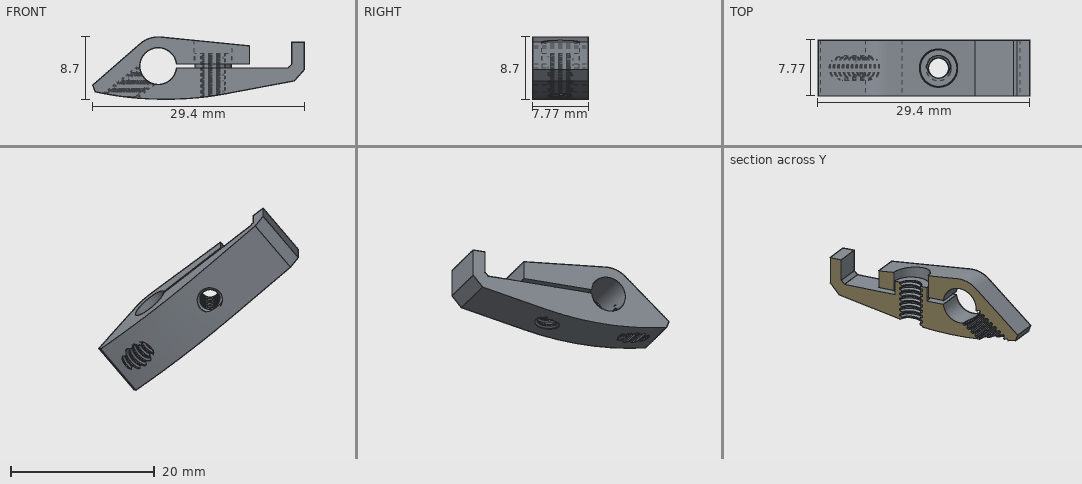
import math

import cadquery as cq

LENGTH = 29.44
WIDTH = 7.77
HEIGHT = 8.704

BORE_DIAMETER = 5.08
SLOT_WIDTH = 0.508
SLOT_TOP = SLOT_WIDTH / 2
SLOT_BOTTOM = -SLOT_WIDTH / 2

SHOULDER_RADIUS = 3.81
SHOULDER_CENTER_Z = SLOT_TOP
SHOULDER_TOP_Z = SHOULDER_CENTER_Z + SHOULDER_RADIUS
UPPER_ARM_END_X = 12.7
UPPER_ARM_END_Z = 2.82

HOOK_OUTER_X = 20.32
NOSE_X = HOOK_OUTER_X - LENGTH
NOSE_Z = -2.65
NOSE_HEEL_X = -8.76
NOSE_HEEL_Z = -3.58

BELLY_BOTTOM_X = 1.0
BELLY_BOTTOM_Z = SHOULDER_TOP_Z - HEIGHT
BELLY_SAG = NOSE_HEEL_Z - BELLY_BOTTOM_Z
BELLY_HALF_CHORD = BELLY_BOTTOM_X - NOSE_HEEL_X
BELLY_RADIUS = (BELLY_HALF_CHORD**2 + BELLY_SAG**2) / (2 * BELLY_SAG)

HOOK_THICKNESS = 1.78
HOOK_INNER_X = HOOK_OUTER_X - HOOK_THICKNESS
HOOK_TOP_Z = 3.33
HOOK_INNER_CHAMFER = 0.508
HOOK_CORNER_X = 18.91
HOOK_CORNER_Z = -2.07
HOOK_OUTER_CHAMFER_Z = -0.5

SCREW_X = 7.62
CLEARANCE_DIAMETER = 5.33
BOSS_DIAMETER = 5.08
BOSS_HEIGHT = 2.03
BOSS_TOP = SLOT_BOTTOM + BOSS_HEIGHT

MM_PER_INCH = 25.4
THREADS_PER_INCH = 32
THREAD_MINOR_DIAMETER = 2.77
THREAD_MAJOR_DIAMETER = 3.5
THREAD_PITCH = MM_PER_INCH / THREADS_PER_INCH
THREAD_FLANK_ANGLE = math.radians(30)
THREAD_ROOT_WIDTH = THREAD_PITCH / 4
GROOVE_OVERLAP = 0.1

SET_SCREW_SLOPE = math.radians(38)
SET_SCREW_HOLE_REACH = 9.5

TANGENT_SIDE_LEFT = 1
TANGENT_SIDE_RIGHT = -1


def tangent_point(center, radius, point, side):
    """Touch point on a circle of a tangent from an outside point, on the given side of the line to it."""
    dx = point[0] - center[0]
    dz = point[1] - center[1]
    angle = math.atan2(dz, dx) + side * math.acos(radius / math.hypot(dx, dz))
    return (center[0] + radius * math.cos(angle), center[1] + radius * math.sin(angle))


def make_body():
    """Side profile of the clamp, extruded across the width."""
    shoulder_center = (0, SHOULDER_CENTER_Z)
    nose = (NOSE_X, NOSE_Z)
    upper_arm_tip = (UPPER_ARM_END_X, UPPER_ARM_END_Z)
    hook_corner = (HOOK_CORNER_X, HOOK_CORNER_Z)
    belly_center = (BELLY_BOTTOM_X, BELLY_BOTTOM_Z + BELLY_RADIUS)

    shoulder_start = tangent_point(shoulder_center, SHOULDER_RADIUS, nose, TANGENT_SIDE_RIGHT)
    shoulder_end = tangent_point(shoulder_center, SHOULDER_RADIUS, upper_arm_tip, TANGENT_SIDE_LEFT)
    belly_end = tangent_point(belly_center, BELLY_RADIUS, hook_corner, TANGENT_SIDE_RIGHT)

    profile = (
        cq.Workplane("XZ")
        .moveTo(*nose)
        .lineTo(*shoulder_start)
        .threePointArc((0, SHOULDER_TOP_Z), shoulder_end)
        .lineTo(*upper_arm_tip)
        .lineTo(UPPER_ARM_END_X, SLOT_TOP)
        .lineTo(0, SLOT_TOP)
        .lineTo(0, SLOT_BOTTOM)
        .lineTo(HOOK_INNER_X - HOOK_INNER_CHAMFER, SLOT_BOTTOM)
        .lineTo(HOOK_INNER_X, SLOT_BOTTOM + HOOK_INNER_CHAMFER)
        .lineTo(HOOK_INNER_X, HOOK_TOP_Z)
        .lineTo(HOOK_OUTER_X, HOOK_TOP_Z)
        .lineTo(HOOK_OUTER_X, HOOK_OUTER_CHAMFER_Z)
        .lineTo(*hook_corner)
        .lineTo(*belly_end)
        .threePointArc((BELLY_BOTTOM_X, BELLY_BOTTOM_Z), (NOSE_HEEL_X, NOSE_HEEL_Z))
        .close()
    )
    body = profile.extrude(WIDTH / 2, both=True)
    bore = cq.Workplane("XZ").circle(BORE_DIAMETER / 2).extrude(WIDTH, both=True)
    return body.cut(bore)


def vertical_cylinder(diameter, bottom, top):
    """Cylinder on the Z axis between two heights."""
    return cq.Workplane("XY", origin=(0, 0, bottom)).circle(diameter / 2).extrude(top - bottom)


def make_thread_groove(length):
    """Helical groove cutter around Z, from one turn above Z = 0 down past -length, centred on Z = 0 at +X."""
    inner_radius = THREAD_MINOR_DIAMETER / 2 - GROOVE_OVERLAP
    outer_radius = THREAD_MAJOR_DIAMETER / 2
    root_half = THREAD_ROOT_WIDTH / 2
    mouth_half = root_half + (outer_radius - inner_radius) * math.tan(THREAD_FLANK_ANGLE)

    turns_below = math.ceil(length / THREAD_PITCH)
    helix = cq.Wire.makeHelix(THREAD_PITCH, (turns_below + 1) * THREAD_PITCH, outer_radius)
    groove = (
        cq.Workplane("XZ")
        .moveTo(inner_radius, -mouth_half)
        .lineTo(outer_radius, -root_half)
        .lineTo(outer_radius, root_half)
        .lineTo(inner_radius, mouth_half)
        .close()
        .sweep(cq.Workplane(obj=helix), isFrenet=True)
    )
    return groove.translate((0, 0, -turns_below * THREAD_PITCH))


def cut_tapped_hole(body, plane, length):
    """Threaded hole from the plane's origin against its normal; the groove starts along the plane's X."""
    place = cq.Location(plane)
    drill = vertical_cylinder(THREAD_MINOR_DIAMETER, -length, 0).val().moved(place)
    groove = make_thread_groove(length).val().moved(place)
    return body.cut(cq.Workplane(groove)).cut(cq.Workplane(drill))


def add_clamp_screw_features(body):
    """Clearance hole in the upper arm, threaded boss on the lower arm."""
    screw_place = (SCREW_X, 0, 0)
    clearance = vertical_cylinder(CLEARANCE_DIAMETER, SLOT_BOTTOM, SHOULDER_TOP_Z).translate(screw_place)
    boss = vertical_cylinder(BOSS_DIAMETER, SLOT_BOTTOM - SLOT_WIDTH, BOSS_TOP).translate(screw_place)
    boss_top_plane = cq.Plane(origin=(SCREW_X, 0, BOSS_TOP), xDir=(0, 1, 0), normal=(0, 0, 1))
    return cut_tapped_hole(body.cut(clearance).union(boss), boss_top_plane, BOSS_TOP - BELLY_BOTTOM_Z)


def cut_set_screw_hole(body):
    """Threaded hole that rises at a slant from the belly into the bore, aimed at the bore axis."""
    axis = (math.cos(SET_SCREW_SLOPE), 0, math.sin(SET_SCREW_SLOPE))
    bore_plane = cq.Plane(origin=(0, 0, 0), xDir=(0, -1, 0), normal=axis)
    return cut_tapped_hole(body, bore_plane, SET_SCREW_HOLE_REACH)


result = cut_set_screw_hole(add_clamp_screw_features(make_body()))